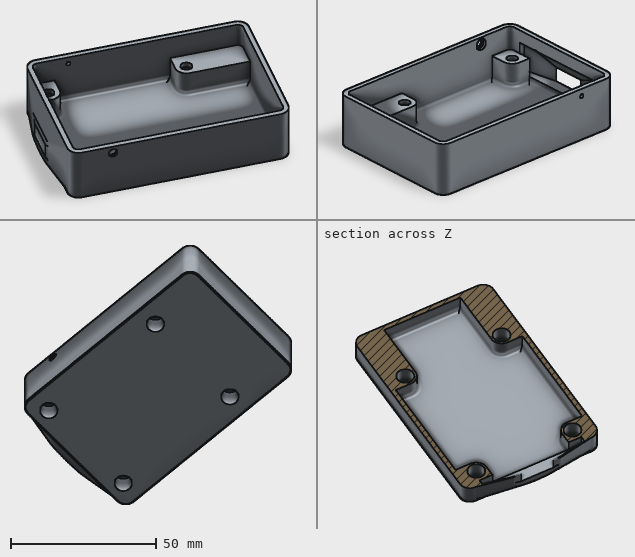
import cadquery as cq
width = 53.7
overall_length = 82.3
height = 20.0
nose_depth = 2.6
length = overall_length - nose_depth
corner_radius = 4.0
wall = 2.0
floor = 2.0
bottom_chamfer = 0.4
floor_fillet = 2.0

post_top = 11.0
post_radius = 4.0
screw_x = 19.0
front_screw_y = 6.3
rear_screw_y = 55.95
screw_diameter = 4.0
head_diameter = 6.0
post_cap = 2.0

nose_base_half_width = width / 2 - corner_radius
nose_tip_half_width = 9.2
nose_tip_bottom = 1.15
nose_tip_top = 12.35
nose_edge_radius = 3.3

port_half_width = 6.25
port_bottom = floor + floor_fillet
port_top = 9.3
flare_half_width = 20.0
flare_top = 15.1

side_hole_y = 15.3
side_hole_z = 17.2
pinhole_diameter = 1.5
side_hole_diameter = 3.1
counterbore_diameter = 4.2
counterbore_depth = 1.15

inner_half_width = width / 2 - wall


def block(x_min, x_max, y_min, y_max, z_min, z_max):
    size = (x_max - x_min, y_max - y_min, z_max - z_min)
    return cq.Workplane("XY").box(*size, centered=False).translate((x_min, y_min, z_min))


def tapered_block(base, tip):
    """Four-sided taper from Y = 0 to the nose tip; each end is (half width, bottom, top)."""
    base_half_width, base_bottom, base_top = base
    tip_half_width, tip_bottom, tip_top = tip
    plan = [
        (-base_half_width, 0),
        (base_half_width, 0),
        (tip_half_width, -nose_depth),
        (-tip_half_width, -nose_depth),
    ]
    profile = [(0, base_bottom), (0, base_top), (-nose_depth, tip_top), (-nose_depth, tip_bottom)]
    side_taper = cq.Workplane("XY").polyline(plan).close().extrude(height)
    height_taper = cq.Workplane("YZ").polyline(profile).close().extrude(base_half_width, both=True)
    return side_taper.intersect(height_taper)


def make_shell():
    body = block(-width / 2, width / 2, 0, length, 0, height)
    return body.edges("|Z").fillet(corner_radius).faces("<Z").edges().chamfer(bottom_chamfer)


def make_nose():
    base = (nose_base_half_width, 0, height)
    tip = (nose_tip_half_width, nose_tip_bottom, nose_tip_top)
    sharp_nose = tapered_block(base, tip)
    rounded = sharp_nose.faces("<X").edges("not(#Y)").fillet(nose_edge_radius)
    half = rounded.intersect(block(-nose_base_half_width, 0, -nose_depth, 0, 0, height))
    return half.union(half.mirror("YZ"))


def make_cavity():
    upper = block(-inner_half_width, inner_half_width, wall, length - wall, post_top, height)
    upper = upper.edges("|Z").fillet(wall)
    lower = block(-inner_half_width, inner_half_width, wall, length - wall, floor, post_top)
    post_edge = screw_x - post_radius
    for side in (-1, 1):
        x_min, x_max = sorted((side * post_edge, side * inner_half_width))
        front_post = block(x_min, x_max, wall, front_screw_y + post_radius, floor, post_top)
        rear_post = block(x_min, x_max, rear_screw_y - post_radius, length - wall, floor, post_top)
        for post, rounded_edge in ((front_post, ">Y"), (rear_post, "<Y")):
            inner_side = "<X" if side > 0 else ">X"
            post = post.edges("|Z").edges(rounded_edge).edges(inner_side).fillet(post_radius)
            lower = lower.cut(post)
    lower = lower.faces("<Z").edges().fillet(floor_fillet)
    return upper.union(lower)


def make_screw_holes():
    points = [(x, y) for x in (-screw_x, screw_x) for y in (front_screw_y, rear_screw_y)]
    plane = cq.Workplane("XY").pushPoints(points)
    return plane.circle(screw_diameter / 2).extrude(post_top).union(
        plane.circle(head_diameter / 2).extrude(post_top - post_cap)
    )


def make_port():
    tip = (port_half_width, port_bottom, port_top)
    base = (flare_half_width, port_bottom, flare_top)
    flare = tapered_block(base, tip)
    window = block(-flare_half_width, flare_half_width, 0, wall, port_bottom, flare_top)
    return flare, window


def make_side_holes():
    plane = cq.Workplane("YZ").center(side_hole_y, side_hole_z)
    pinhole = plane.circle(pinhole_diameter / 2).extrude(-width / 2)
    side_hole = plane.circle(side_hole_diameter / 2).extrude(width / 2)
    counterbore = plane.circle(counterbore_diameter / 2).extrude(inner_half_width + counterbore_depth)
    return pinhole.union(side_hole).union(counterbore)


result = make_shell().union(make_nose()).cut(make_cavity()).cut(make_screw_holes())
for opening in make_port():
    result = result.cut(opening)
result = result.cut(make_side_holes())